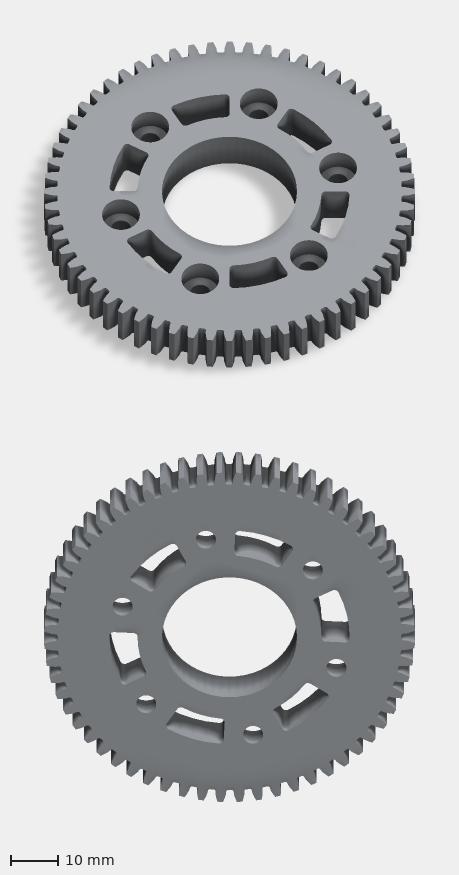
import cadquery as cq
import math

TEETH = 60
OUTER_SPAN = 78.7
THICKNESS = 9.5
PRESSURE_ANGLE = math.radians(14.5)
DEDENDUM_FACTOR = 1.22
FLANK_STEPS = 4

BORE_DIAMETER = 28.65

BOLT_COUNT = 6
BOLT_CIRCLE_RADIUS = 23.85
BOLT_HOLE_DIAMETER = 4.25
COUNTERBORE_DIAMETER = 8.0
COUNTERBORE_DEPTH = 5.0
WINDOW_INNER_RADIUS = 19.5
WINDOW_OUTER_RADIUS = 25.5
WINDOW_HALF_ANGLE = 15.0
WINDOW_FILLET = 0.95

MODULE = OUTER_SPAN / (TEETH + 2)
TOOTH_PITCH = 2 * math.pi / TEETH
PITCH_RADIUS = MODULE * TEETH / 2
BASE_RADIUS = PITCH_RADIUS * math.cos(PRESSURE_ANGLE)
ROOT_RADIUS = PITCH_RADIUS - DEDENDUM_FACTOR * MODULE
ROOT_FILLET = (BASE_RADIUS**2 - ROOT_RADIUS**2) / (2 * ROOT_RADIUS)


def polar(radius, angle):
    return (radius * math.cos(angle), radius * math.sin(angle))


def involute(pressure_angle):
    return math.tan(pressure_angle) - pressure_angle


def half_tooth_angle(radius):
    """Half the angle a tooth covers at a radius on its involute flank."""
    local_angle = math.acos(BASE_RADIUS / radius)
    return TOOTH_PITCH / 4 + involute(PRESSURE_ANGLE) - involute(local_angle)


NOMINAL_TIP_RADIUS = PITCH_RADIUS + MODULE
TIP_CORNER_ANGLE = TOOTH_PITCH / 2 - half_tooth_angle(NOMINAL_TIP_RADIUS)
TIP_RADIUS = OUTER_SPAN / 2 / math.cos(TIP_CORNER_ANGLE)


def gear_blank():
    """Toothed disc: tip arcs joined by one smooth curve per gap, down one flank and up the next."""
    flank_radii = [
        BASE_RADIUS + (TIP_RADIUS - BASE_RADIUS) * step / FLANK_STEPS
        for step in range(1, FLANK_STEPS + 1)
    ]
    fillet_sweep = math.asin(ROOT_FILLET / (ROOT_RADIUS + ROOT_FILLET))
    fillet_axis_angle = half_tooth_angle(BASE_RADIUS) + fillet_sweep
    fillet_half_turn = (math.pi / 2 - fillet_sweep) / 2

    def fillet_middle(center, side):
        """Mid-point of the root fillet on one side (-1 or 1) of the tooth at a centre angle."""
        axis_angle = center + side * fillet_axis_angle
        axis = polar(ROOT_RADIUS + ROOT_FILLET, axis_angle)
        offset = polar(ROOT_FILLET, axis_angle + math.pi + side * fillet_half_turn)
        return (axis[0] + offset[0], axis[1] + offset[1])

    def flank(center, side):
        """Involute points from just above the base circle to the tip on one side (-1 or 1) of a tooth."""
        return [polar(r, center + side * half_tooth_angle(r)) for r in flank_radii]

    first_center = TOOTH_PITCH / 2
    outline = cq.Workplane("XY").moveTo(*flank(first_center, -1)[-1])
    for tooth in range(TEETH):
        center = first_center + tooth * TOOTH_PITCH
        next_center = center + TOOTH_PITCH
        falling = flank(center, 1)[::-1]
        rising = flank(next_center, -1)
        root = [
            fillet_middle(center, 1),
            polar(ROOT_RADIUS, center + TOOTH_PITCH / 2),
            fillet_middle(next_center, -1),
        ]
        outline = outline.threePointArc(polar(TIP_RADIUS, center), falling[0])
        outline = outline.spline(falling[1:] + root + rising, includeCurrent=True)
    return outline.close().extrude(THICKNESS)


def window_cutter():
    """One ring-sector window with rounded corners, centred on the +X axis."""
    half_angle = math.radians(WINDOW_HALF_ANGLE)
    return (
        cq.Workplane("XY")
        .moveTo(*polar(WINDOW_INNER_RADIUS, -half_angle))
        .lineTo(*polar(WINDOW_OUTER_RADIUS, -half_angle))
        .threePointArc((WINDOW_OUTER_RADIUS, 0), polar(WINDOW_OUTER_RADIUS, half_angle))
        .lineTo(*polar(WINDOW_INNER_RADIUS, half_angle))
        .threePointArc((WINDOW_INNER_RADIUS, 0), polar(WINDOW_INNER_RADIUS, -half_angle))
        .close()
        .extrude(THICKNESS)
        .edges("|Z")
        .fillet(WINDOW_FILLET)
    )


def bolt_circle_cylinders(diameter, bottom, height):
    """One cylinder at every bolt position, the first on the Y axis."""
    return (
        cq.Workplane("XY", origin=(0, 0, bottom))
        .polarArray(BOLT_CIRCLE_RADIUS, 90, 360, BOLT_COUNT)
        .circle(diameter / 2)
        .extrude(height)
    )


bore = cq.Workplane("XY").circle(BORE_DIAMETER / 2).extrude(THICKNESS)
bolt_holes = bolt_circle_cylinders(BOLT_HOLE_DIAMETER, 0, THICKNESS)
counterbores = bolt_circle_cylinders(
    COUNTERBORE_DIAMETER, THICKNESS - COUNTERBORE_DEPTH, COUNTERBORE_DEPTH
)
openings = bore.add(bolt_holes).add(counterbores)

window = window_cutter()
for index in range(BOLT_COUNT):
    openings = openings.add(window.rotate((0, 0, 0), (0, 0, 1), index * 360 / BOLT_COUNT))

result = gear_blank().cut(openings.combine())